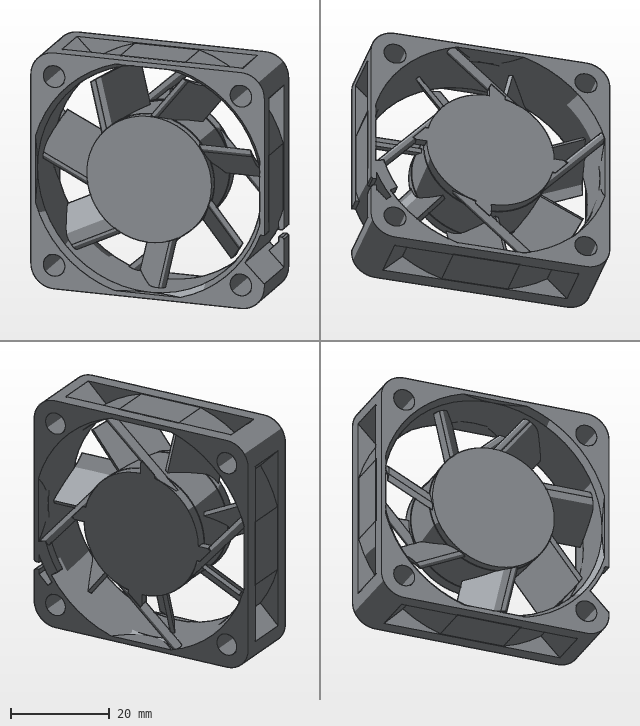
import cadquery as cq
import math


side = 50.0
depth = 15.0
half_side = side / 2
front = -depth / 2
back = depth / 2
corner_radius = 5.0
screw_offset = 20.0
screw_diameter = 4.6

bore_radius = 24.0
mouth_radius = 25.0
mouth_flat = 24.0
duct_outer_radius = 25.8
duct_outer_flat = 24.85
duct_joint_radius = (mouth_radius + duct_outer_radius) / 2
front_mouth_depth = 1.3
back_mouth_depth = 4.0

pocket_half_depth = 4.55
web_drop = 5.7
corner_web_half_width = web_drop / math.sqrt(2)

exit_top = -9.0
slot_top = -11.45
slot_bottom = -13.0
hook_inner_x = 23.85
hook_lower_z = -14.0
hook_corner = 0.35
cut_margin = 1.0

hub_radius = 13.35
hub_front = -6.55
hub_rim_back = -4.6
hub_waist_radius = 13.2
hub_base_front = 5.0
blade_count = 7
blade_tip_radius = 23.0
blade_root_x = 10.0

strut_count = 4
strut_radius = 1.0
strut_offset = 12.3
strut_angle = 42.0
strut_y = 6.4
strut_web_front = 5.75
strut_web_outline = [(-3, 10), (-3.1, 13.65), (-0.2, 16.2), (0.2, 15.5), (0.2, 10)]

ledge_radius = 23.25
ledge_depth = 2.0
ledge_start_angle = -33.0
ledge_end_angle = -16.0


def plane_at(y):
    """Work plane facing -Y, with X right and Z up."""
    return cq.Workplane("XZ", origin=(0, y, 0))


def cylinder(radius, y_start, y_end):
    return plane_at(y_end).circle(radius).extrude(y_end - y_start)


def block(half_width, y_start, y_end):
    return plane_at(y_end).rect(2 * half_width, 2 * half_width).extrude(y_end - y_start)


def prism(points, y_start, y_end):
    return plane_at(y_end).polyline(points).close().extrude(y_end - y_start)


def turn_profile(points):
    """Solid of revolution about the fan axis from (radius, Y) points."""
    return cq.Workplane("XY").polyline(points).close().revolve(360, (0, 0, 0), (0, 1, 0))


def turned(body, angle):
    """Turn a body about the fan axis, counter-clockwise as seen from -Y."""
    return body.rotate((0, 0, 0), (0, 1, 0), -angle)


def make_duct_envelope():
    """Outside of the duct ring, with flats just under the frame sides."""
    ring = cylinder(duct_outer_radius, front, back)
    return ring.intersect(block(duct_outer_flat, front, back))


def make_corner_webs():
    """Solid diagonal bars that carry the screw holes."""
    bar = plane_at(back).rect(2 * side, 2 * corner_web_half_width).extrude(depth)
    return turned(bar, 45).union(turned(bar, -45))


def make_air_passage():
    """Bore with a conical mouth at each end, flattened along the frame sides."""
    passage = turn_profile(
        [
            (0, front),
            (mouth_radius, front),
            (bore_radius, front + front_mouth_depth),
            (bore_radius, back - back_mouth_depth),
            (mouth_radius, back),
            (0, back),
        ]
    )
    return passage.intersect(block(mouth_flat, front, back))


def make_cable_exit():
    """Opening in the front plate and a hooked slot in the back plate."""
    outside = half_side + cut_margin
    inside = hub_radius
    opening = prism(
        [
            (inside, exit_top),
            (outside, exit_top),
            (outside, web_drop - outside),
            (inside, web_drop - inside),
        ],
        front,
        pocket_half_depth,
    )
    flank_x = (hook_inner_x - hook_lower_z + web_drop) / 2
    slot = prism(
        [
            (inside, exit_top),
            (hook_inner_x, exit_top),
            (hook_inner_x, slot_top),
            (half_side - hook_corner, slot_top),
            (half_side, slot_top + hook_corner),
            (outside, slot_top + hook_corner),
            (outside, slot_bottom - hook_corner),
            (half_side, slot_bottom - hook_corner),
            (half_side - hook_corner, slot_bottom),
            (hook_inner_x, slot_bottom),
            (hook_inner_x, hook_lower_z),
            (flank_x, web_drop - flank_x),
            (inside, web_drop - inside),
        ],
        pocket_half_depth,
        back,
    )
    return opening.union(slot)


def make_frame():
    plate = block(half_side, front, back).edges("|Y").fillet(corner_radius)
    duct = make_duct_envelope()
    pockets = block(half_side, -pocket_half_depth, pocket_half_depth)
    pockets = pockets.cut(duct).cut(make_corner_webs())
    screw_holes = (
        plane_at(back)
        .rect(2 * screw_offset, 2 * screw_offset, forConstruction=True)
        .vertices()
        .circle(screw_diameter / 2)
        .extrude(depth)
    )
    cable_exit = make_cable_exit().cut(duct)
    return plate.cut(pockets).cut(screw_holes).cut(cable_exit).cut(make_air_passage())


def make_hub():
    """Hub with a slightly slimmer waist between its front rim and its base."""
    return turn_profile(
        [
            (0, hub_front),
            (hub_radius, hub_front),
            (hub_radius, hub_rim_back),
            (hub_waist_radius, hub_rim_back),
            (hub_waist_radius, hub_base_front),
            (hub_radius, hub_base_front),
            (hub_radius, back),
            (0, back),
        ]
    )


def make_blade():
    """Blade along +X, drawn in (Y, Z): flat trailing part, bend and rounded nose."""
    blade = (
        cq.Workplane("YZ", origin=(blade_root_x, 0, 0))
        .moveTo(2.75, 0)
        .lineTo(-4.45, 4.35)
        .threePointArc((-5.45, 5.4), (-6, 6.9))
        .threePointArc((-6.15, 7.7), (-5.75, 8.25))
        .threePointArc((-5.1, 6.4), (-4, 5.2))
        .lineTo(3.2, 0.75)
        .close()
        .extrude(half_side - blade_root_x)
    )
    return blade.intersect(cylinder(blade_tip_radius, front, back))


def make_impeller():
    impeller = make_hub()
    blade = make_blade()
    for index in range(blade_count):
        impeller = impeller.union(turned(blade, index * 360 / blade_count))
    return impeller


def make_strut():
    """Round strut running past the hub to the duct, with a web to the hub at its root."""
    rod = (
        cq.Workplane("YZ")
        .center(strut_y, strut_offset)
        .circle(strut_radius)
        .extrude(half_side)
    )
    rod = turned(rod, strut_angle)
    web = prism(strut_web_outline, strut_web_front, back)
    return rod.union(web).intersect(cylinder(duct_joint_radius, front, back))


def make_stator():
    strut = make_strut()
    stator = strut
    for index in range(1, strut_count):
        stator = stator.union(turned(strut, index * 360 / strut_count))
    return stator


def polar_point(radius, angle):
    return (radius * math.cos(math.radians(angle)), radius * math.sin(math.radians(angle)))


def make_cable_ledge():
    """Arc-shaped ledge inside the duct wall beside the cable exit."""
    middle = (ledge_start_angle + ledge_end_angle) / 2
    return (
        plane_at(back)
        .moveTo(*polar_point(ledge_radius, ledge_start_angle))
        .threePointArc(polar_point(ledge_radius, middle), polar_point(ledge_radius, ledge_end_angle))
        .lineTo(*polar_point(duct_joint_radius, ledge_end_angle))
        .threePointArc(
            polar_point(duct_joint_radius, middle),
            polar_point(duct_joint_radius, ledge_start_angle),
        )
        .close()
        .extrude(ledge_depth)
    )


result = (
    make_frame()
    .union(make_impeller(), clean=False)
    .union(make_stator(), clean=False)
    .union(make_cable_ledge(), clean=False)
)